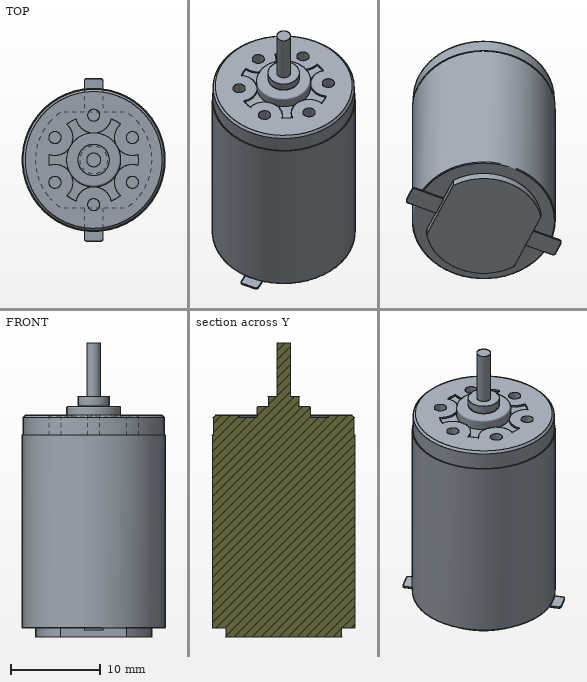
import cadquery as cq
import math


can_diameter = 16.0
cap_diameter = 15.8
cap_height = 2.2
cap_chamfer = 0.25
motor_length = 23.8
can_bottom_fillet = 0.1

pilot_diameter = 6.05
pilot_height = 1.0
pilot_fillet = 0.2
collar_diameter = 3.5
collar_height = 1.1
collar_fillet = 0.2
shaft_diameter = 1.55
shaft_tip_z = 8.1

hole_count = 6
hole_diameter = 1.35
hole_circle_radius = 5.0
hole_depth = cap_height
land_radius = 2.0
recess_depth = 0.2

cover_diameter = 13.0
cover_width = 10.7
cover_height = 1.0

tab_span = 18.2
tab_width = 2.1
tab_thickness = 0.2
tab_corner_radius = 0.3

can_bottom_z = -motor_length
can_top_z = -cap_height
collar_bottom_z = pilot_height
collar_top_z = collar_bottom_z + collar_height


def cylinder(diameter, bottom_z, top_z):
    """Solid cylinder on the motor axis between two levels."""
    base = cq.Workplane("XY").workplane(offset=bottom_z)
    return base.circle(diameter / 2).extrude(top_z - bottom_z)


def hole_pattern(plane):
    """Centres of the mounting holes; the first one lies on +Y."""
    return plane.polarArray(hole_circle_radius, 90, 360, hole_count)


def make_housing():
    """Can with a slightly narrower, chamfered end cap."""
    can = cylinder(can_diameter, can_bottom_z, can_top_z)
    can = can.faces("<Z").fillet(can_bottom_fillet)
    cap = cylinder(cap_diameter, can_top_z, 0)
    cap = cap.faces(">Z").chamfer(cap_chamfer)
    return can.union(cap)


def make_recess():
    """Shallow disc with a round land left standing around every mounting hole."""
    disc = cylinder(2 * hole_circle_radius, -recess_depth, 0)
    land_plane = cq.Workplane("XY").workplane(offset=-recess_depth)
    lands = hole_pattern(land_plane).circle(land_radius).extrude(recess_depth)
    return disc.cut(lands)


def make_mounting_holes():
    """Blind holes as deep as the end cap."""
    return hole_pattern(cq.Workplane("XY")).circle(hole_diameter / 2).extrude(-hole_depth)


def make_output_end():
    """Pilot boss, bearing collar and output shaft."""
    pilot = cylinder(pilot_diameter, -recess_depth, pilot_height)
    pilot = pilot.faces(">Z").fillet(pilot_fillet)
    collar = cylinder(collar_diameter, collar_bottom_z, collar_top_z)
    collar = collar.faces("<Z").fillet(collar_fillet)
    shaft = cylinder(shaft_diameter, collar_top_z, shaft_tip_z)
    return pilot.union(collar).union(shaft)


def make_cover():
    """Round brush cover with flats facing +Y and -Y."""
    half_flat = math.sqrt(cover_diameter**2 - cover_width**2) / 2
    half_width = cover_width / 2
    outline = (
        cq.Workplane("XY")
        .workplane(offset=can_bottom_z)
        .moveTo(-half_flat, -half_width)
        .lineTo(half_flat, -half_width)
        .threePointArc((cover_diameter / 2, 0), (half_flat, half_width))
        .lineTo(-half_flat, half_width)
        .threePointArc((-cover_diameter / 2, 0), (-half_flat, -half_width))
        .close()
    )
    return outline.extrude(-cover_height)


def make_terminals():
    """Thin strip under the can whose rounded ends form the two terminal tabs."""
    strip = (
        cq.Workplane("XY")
        .workplane(offset=can_bottom_z)
        .rect(tab_width, tab_span)
        .extrude(-tab_thickness)
    )
    return strip.edges("|Z").fillet(tab_corner_radius)


result = (
    make_housing()
    .cut(make_recess())
    .cut(make_mounting_holes())
    .union(make_output_end())
    .union(make_cover())
    .union(make_terminals())
)